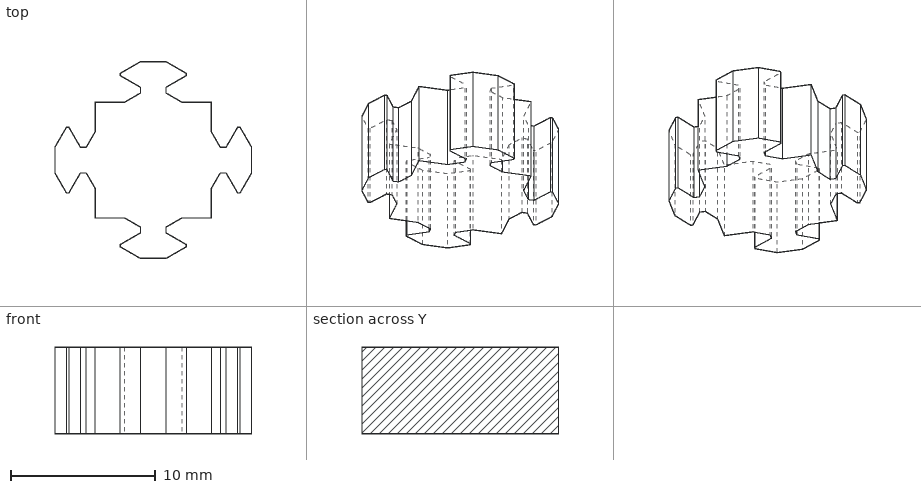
import cadquery as cq
import math

span = 13.6
height = 6.0
body_side = 8.02
neck_width = 1.8
head_width = 4.57
root_width = 3.95
neck_outer = 5.03
flank_angle = 30.0

half_neck = neck_width / 2
half_head = head_width / 2
half_root = root_width / 2
flank_slope = math.tan(math.radians(flank_angle))
head_rise = (half_head - half_neck) * flank_slope
root_rise = (half_root - half_neck) * flank_slope


def make_connector():
    """Dovetail-like connector along +Y, reaching back to the part centre."""
    right_side = [
        (half_root, 0),
        (half_root, body_side / 2),
        (half_neck, body_side / 2 + root_rise),
        (half_neck, neck_outer),
        (half_head, neck_outer + head_rise),
        (half_head, span / 2 - head_rise),
        (half_neck, span / 2),
    ]
    left_side = [(-x, y) for x, y in reversed(right_side)]
    return cq.Workplane("XY").polyline(right_side + left_side).close().extrude(height)


result = cq.Workplane("XY").rect(body_side, body_side).extrude(height)
connector = make_connector()
for angle in (0, 90, 180, 270):
    result = result.union(connector.rotate((0, 0, 0), (0, 0, 1), angle))
result = result.clean()